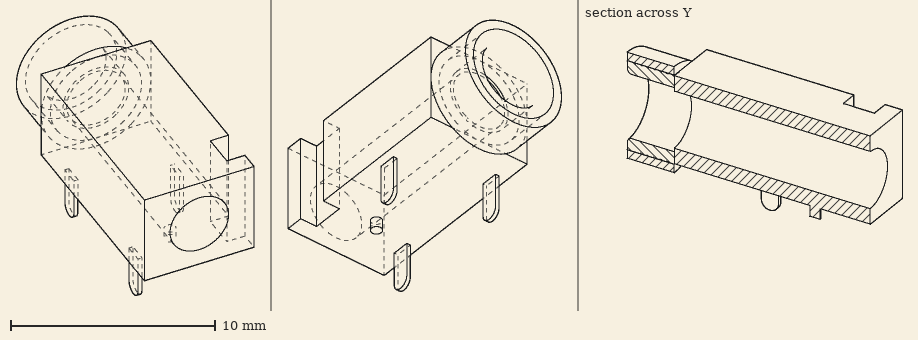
import cadquery as cq


total_length = 14.0
collar_diameter = 6.0
collar_length = 2.72
block_width = collar_diameter
block_height = 5.0
block_bottom = -block_height / 2
rear_bore_diameter = 3.2

notch_start = 11.2
notch_length = 1.79
notch_depth = 1.0

post_x = 10.81
post_diameter = 0.6
post_length = 0.6

sleeve_diameter = 5.0
sleeve_bore_diameter = 3.6
sleeve_length = collar_length
mouth_radius = 0.3

pin_width = 1.0
pin_thickness = 0.22
pin_length = 2.49
pin_outer_y = 2.5
pin_center_y = pin_outer_y - pin_thickness / 2
pin_places = [(4.8, -1), (6.8, 1), (11.8, -1)]


def axial_cylinder(diameter, start, length):
    """Cylinder along +X, centred on the socket axis."""
    return cq.Workplane("YZ", origin=(start, 0, 0)).circle(diameter / 2).extrude(length)


def make_housing():
    collar = axial_cylinder(collar_diameter, 0, collar_length)
    block = cq.Workplane("XY").box(
        total_length - collar_length, block_width, block_height, centered=(False, True, True)
    ).translate((collar_length, 0, 0))
    notch = cq.Workplane("XY").box(
        notch_length, notch_depth, block_height, centered=(False, False, True)
    ).translate((notch_start, block_width / 2 - notch_depth, 0))
    post = (
        cq.Workplane("XY", origin=(post_x, 0, block_bottom))
        .circle(post_diameter / 2)
        .extrude(-post_length)
    )
    sleeve_seat = axial_cylinder(sleeve_diameter, 0, sleeve_length)
    rear_bore = axial_cylinder(rear_bore_diameter, 0, total_length)
    return collar.union(block).union(post).cut(notch).cut(sleeve_seat).cut(rear_bore)


def make_sleeve():
    body = axial_cylinder(sleeve_diameter, 0, sleeve_length)
    bored = body.cut(axial_cylinder(sleeve_bore_diameter, 0, sleeve_length))
    return bored.faces("<X").edges(cq.selectors.RadiusNthSelector(0)).fillet(mouth_radius)


def make_pin(x, side):
    half_width = pin_width / 2
    straight_end = block_bottom - pin_length + half_width
    return (
        cq.Workplane("XZ")
        .moveTo(x - half_width, block_bottom)
        .lineTo(x + half_width, block_bottom)
        .lineTo(x + half_width, straight_end)
        .threePointArc((x, straight_end - half_width), (x - half_width, straight_end))
        .close()
        .extrude(pin_thickness / 2, both=True)
        .translate((0, side * pin_center_y, 0))
    )


housing = make_housing()
sleeve = make_sleeve()
pins = [make_pin(x, side).val() for x, side in pin_places]

result = cq.Compound.makeCompound([housing.val(), sleeve.val(), *pins])